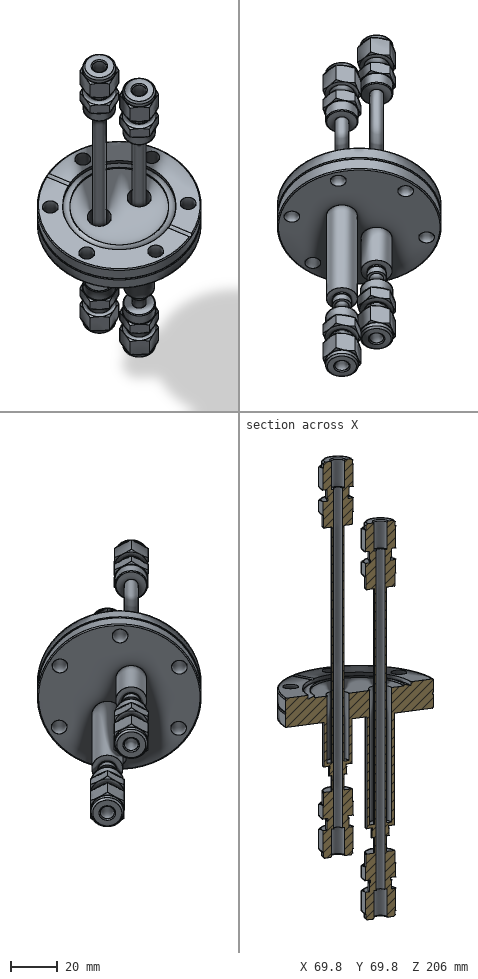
import cadquery as cq
import math

TOTAL_HEIGHT = 206.0
LOWEST_END = -90.2
HIGHEST_END = LOWEST_END + TOTAL_HEIGHT
TUBE_STAGGER = 29.9

FLANGE_DIAMETER = 69.8
FLANGE_THICKNESS = 13.2
FLANGE_CHAMFER = 0.52
RIM_GROOVE_WIDTH = 1.0
RIM_GROOVE_DEPTH = 0.3
BOLT_COUNT = 6
BOLT_CIRCLE_DIAMETER = 58.7
BOLT_HOLE_DIAMETER = 6.5

RECESS_DIAMETER = 48.2
KNIFE_DIAMETER = 42.0
KNIFE_DROP = 0.6
KNIFE_SLOPE = 20.0
FLOOR_DROP = 1.5
LEAK_GROOVE_WIDTH = 2.0
LEAK_GROOVE_DEPTH = 0.5
LEAK_GROOVE_ANGLE = 30.0

TUBE_SPACING = 20.0
TUBE_DIAMETER = 6.0
TUBE_BORE = 4.0
SLEEVE_DIAMETER = 13.2
SLEEVE_BORE = 10.0
LONG_SLEEVE_LENGTH = 49.6
SLEEVE_END_WALL = 1.6
COLLAR_DIAMETER = 8.2
COLLAR_LENGTH = 4.3
COLLAR_NECK_DIAMETER = 7.8
COLLAR_NECK_LENGTH = 1.0

HEX_SIDES = 6
HEX_FLATS = 14.5
HEX_CHAMFER_ANGLE = 30.0
END_DIAMETER = 14.0
END_CHAMFER = 0.8
NUT_START = 2.7
NUT_END = 12.5
NECK_DIAMETER = 10.7
NECK_END = 16.5
UNDERCUT_DIAMETER = 9.7
BODY_START = 17.5
BODY_END = 23.7
SHANK_DIAMETER = 13.8
SHANK_CHAMFER = 0.5
FITTING_LENGTH = 29.5
MOUTH_DIAMETER = 7.0
MOUTH_ANGLE = 45.0
SOCKET_DEPTH = NUT_END


def cylinder(diameter, bottom, top):
    """Round bar on the Z axis between two heights."""
    return cq.Workplane("XY").workplane(offset=bottom).circle(diameter / 2).extrude(top - bottom)


def chamfered_hex(bottom, top):
    """Hexagonal bar with corners at +X and -X, its end corners turned to a cone."""
    corner_diameter = HEX_FLATS / math.cos(math.pi / HEX_SIDES)
    flat_radius = HEX_FLATS / 2
    corner_radius = corner_diameter / 2
    drop = (corner_radius - flat_radius) * math.tan(math.radians(HEX_CHAMFER_ANGLE))
    hexagon = (
        cq.Workplane("XY")
        .workplane(offset=bottom)
        .polygon(HEX_SIDES, corner_diameter)
        .extrude(top - bottom)
    )
    envelope = (
        cq.Workplane("XZ")
        .moveTo(0, bottom)
        .lineTo(flat_radius, bottom)
        .lineTo(corner_radius, bottom + drop)
        .lineTo(corner_radius, top - drop)
        .lineTo(flat_radius, top)
        .lineTo(0, top)
        .close()
        .revolve(360, (0, 0, 0), (0, 1, 0))
    )
    return hexagon.intersect(envelope)


def make_fitting():
    """Compression fitting with its open end at Z = 0 and its shank pointing up."""
    fitting = cylinder(END_DIAMETER, 0, NUT_START).faces("<Z").chamfer(END_CHAMFER)
    fitting = fitting.union(chamfered_hex(NUT_START, NUT_END))
    fitting = fitting.union(cylinder(NECK_DIAMETER, NUT_END, NECK_END))
    fitting = fitting.union(cylinder(UNDERCUT_DIAMETER, NECK_END, BODY_START))
    fitting = fitting.union(chamfered_hex(BODY_START, BODY_END))
    shank = cylinder(SHANK_DIAMETER, BODY_END, FITTING_LENGTH).faces(">Z").chamfer(SHANK_CHAMFER)
    fitting = fitting.union(shank)
    mouth_depth = (MOUTH_DIAMETER - TUBE_DIAMETER) / 2 / math.tan(math.radians(MOUTH_ANGLE))
    mouth = cq.Workplane("XY").circle(MOUTH_DIAMETER / 2).extrude(mouth_depth, taper=MOUTH_ANGLE)
    fitting = fitting.cut(mouth)
    fitting = fitting.cut(cylinder(TUBE_DIAMETER, 0, SOCKET_DEPTH))
    return fitting.cut(cylinder(TUBE_BORE, SOCKET_DEPTH, FITTING_LENGTH))


def make_flange():
    """Round flange with a V-shaped rim groove, bolt holes, sealing recess and leak grooves."""
    flange = cylinder(FLANGE_DIAMETER, 0, FLANGE_THICKNESS).edges().chamfer(FLANGE_CHAMFER)

    flange_radius = FLANGE_DIAMETER / 2
    groove_middle = FLANGE_THICKNESS / 2
    rim_groove = (
        cq.Workplane("XZ")
        .moveTo(flange_radius, groove_middle - RIM_GROOVE_WIDTH / 2)
        .lineTo(flange_radius - RIM_GROOVE_DEPTH, groove_middle)
        .lineTo(flange_radius, groove_middle + RIM_GROOVE_WIDTH / 2)
        .close()
        .revolve(360, (0, 0, 0), (0, 1, 0))
    )
    flange = flange.cut(rim_groove)

    bolt_holes = (
        cq.Workplane("XY")
        .polarArray(BOLT_CIRCLE_DIAMETER / 2, 0, 360, BOLT_COUNT)
        .circle(BOLT_HOLE_DIAMETER / 2)
        .extrude(FLANGE_THICKNESS)
    )
    flange = flange.cut(bolt_holes)

    recess_radius = RECESS_DIAMETER / 2
    knife_radius = KNIFE_DIAMETER / 2
    knife_height = FLANGE_THICKNESS - KNIFE_DROP
    knife_fall = (recess_radius - knife_radius) * math.tan(math.radians(KNIFE_SLOPE))
    recess = (
        cq.Workplane("XZ")
        .moveTo(0, FLANGE_THICKNESS)
        .lineTo(recess_radius, FLANGE_THICKNESS)
        .lineTo(recess_radius, knife_height - knife_fall)
        .lineTo(knife_radius, knife_height)
        .lineTo(knife_radius, FLANGE_THICKNESS - FLOOR_DROP)
        .lineTo(0, FLANGE_THICKNESS - FLOOR_DROP)
        .close()
        .revolve(360, (0, 0, 0), (0, 1, 0))
    )
    flange = flange.cut(recess)

    rod_radius = (LEAK_GROOVE_WIDTH**2 / 4 + LEAK_GROOVE_DEPTH**2) / (2 * LEAK_GROOVE_DEPTH)
    rod_height = FLANGE_THICKNESS - LEAK_GROOVE_DEPTH + rod_radius
    leak_rod = (
        cq.Workplane("YZ")
        .center(0, rod_height)
        .circle(rod_radius)
        .extrude(flange_radius, both=True)
        .rotate((0, 0, 0), (0, 0, 1), LEAK_GROOVE_ANGLE)
    )
    return flange.cut(leak_rod)


def add_feedthrough(body, y, lower_end, upper_end, sleeve_length):
    """Add a sleeve, a tube and two end fittings at the given Y, open all the way through."""
    position = (0, y, 0)
    sleeve_bore_end = SLEEVE_END_WALL - sleeve_length
    body = body.union(cylinder(SLEEVE_DIAMETER, -sleeve_length, 0).translate(position))
    body = body.cut(cylinder(SLEEVE_BORE, sleeve_bore_end, FLANGE_THICKNESS).translate(position))

    collar_start = -sleeve_length - COLLAR_NECK_LENGTH
    collar_end = -sleeve_length - COLLAR_LENGTH
    body = body.union(cylinder(COLLAR_NECK_DIAMETER, collar_start, -sleeve_length).translate(position))
    body = body.union(cylinder(COLLAR_DIAMETER, collar_end, collar_start).translate(position))

    tube_bottom = lower_end + SOCKET_DEPTH
    tube_top = upper_end - SOCKET_DEPTH
    body = body.union(cylinder(TUBE_DIAMETER, tube_bottom, tube_top).translate(position))
    body = body.cut(cylinder(TUBE_BORE, tube_bottom, tube_top).translate(position))

    lower_fitting = make_fitting()
    upper_fitting = lower_fitting.mirror("XY")
    body = body.union(lower_fitting.translate((0, y, lower_end)))
    return body.union(upper_fitting.translate((0, y, upper_end)))


result = make_flange()
result = add_feedthrough(
    result, TUBE_SPACING / 2, LOWEST_END, HIGHEST_END - TUBE_STAGGER, LONG_SLEEVE_LENGTH
)
result = add_feedthrough(
    result, -TUBE_SPACING / 2, LOWEST_END + TUBE_STAGGER, HIGHEST_END, LONG_SLEEVE_LENGTH - TUBE_STAGGER
)